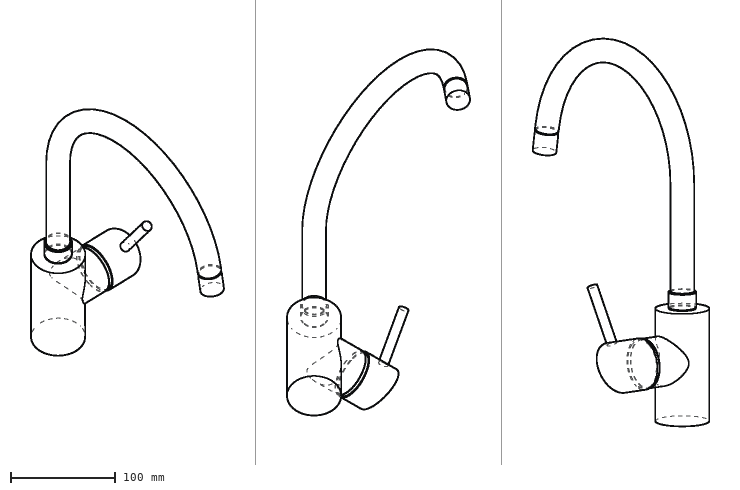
import cadquery as cq
import math

TOTAL_HEIGHT = 353.5

BODY_DIAMETER = 52.0
BODY_HEIGHT = 110.0
BRANCH_DIAMETER = 48.0
BRANCH_AXIS_HEIGHT = 61.5
BRANCH_END = 44.2

SPACER_DIAMETER = 46.5
SPACER_LENGTH = 3.5

CAP_DIAMETER = 50.0
CAP_END = 87.3
CAP_SLANT = 15.0
CAP_ROUND = 2.0
HANDLE_TURN = 32.0

LEVER_DIAMETER = 10.0
LEVER_REACH = 84.5
LEVER_PLACE = 74.0

COLLAR_DIAMETER = 27.0
COLLAR_HEIGHT = 17.0
COLLAR_BEVEL = 1.0
COLLAR_FOOT_DIAMETER = 25.8
COLLAR_FOOT_HEIGHT = 1.0

SPOUT_DIAMETER = 23.0
BEND_RADIUS = 110.3
BEND_SWEEP = 170.0
OUTLET_LENGTH = 3.5

AERATOR_NECK_DIAMETER = 21.5
AERATOR_NECK_LENGTH = 1.0
AERATOR_LENGTH = 21.5
AERATOR_BEVEL_LENGTH = 4.0
AERATOR_BEVEL_DEPTH = 0.5

spacer_end = BRANCH_END + SPACER_LENGTH
spout_base = BODY_HEIGHT + COLLAR_HEIGHT
bend_height = TOTAL_HEIGHT - BEND_RADIUS - SPOUT_DIAMETER / 2


def cylinder_along_y(diameter, start, end):
    """Cylinder on the branch axis between two Y positions."""
    plane = cq.Plane(origin=(0, start, BRANCH_AXIS_HEIGHT), xDir=(1, 0, 0), normal=(0, 1, 0))
    return cq.Workplane(plane).circle(diameter / 2).extrude(end - start)


def turn_handle(part):
    """Turn a part about the branch axis, tipping its top toward +X."""
    return part.rotate((0, 0, BRANCH_AXIS_HEIGHT), (0, 1, BRANCH_AXIS_HEIGHT), HANDLE_TURN)


def make_body():
    column = cq.Workplane("XY").circle(BODY_DIAMETER / 2).extrude(BODY_HEIGHT)
    return column.union(cylinder_along_y(BRANCH_DIAMETER, 0, BRANCH_END))


def make_spacer():
    return cylinder_along_y(SPACER_DIAMETER, BRANCH_END, spacer_end)


def make_cap():
    """Handle cap before turning: the end leans back toward the bottom."""
    radius = CAP_DIAMETER / 2
    bottom_end = CAP_END - CAP_DIAMETER * math.tan(math.radians(CAP_SLANT))
    side_outline = (
        cq.Workplane("YZ", origin=(0, 0, BRANCH_AXIS_HEIGHT))
        .moveTo(spacer_end, -radius)
        .lineTo(bottom_end, -radius)
        .lineTo(CAP_END, radius)
        .lineTo(spacer_end, radius)
        .close()
        .extrude(radius, both=True)
    )
    cap = cylinder_along_y(CAP_DIAMETER, spacer_end, CAP_END).intersect(side_outline)
    return cap.faces(">Y").edges().fillet(CAP_ROUND)


def make_lever(cap):
    """Lever before turning: its foot is shaped to the cap surface."""
    bar = (
        cq.Workplane("XY", origin=(0, LEVER_PLACE, BRANCH_AXIS_HEIGHT))
        .circle(LEVER_DIAMETER / 2)
        .extrude(LEVER_REACH)
    )
    return bar.cut(cap)


def make_collar():
    foot = cq.Workplane("XY", origin=(0, 0, BODY_HEIGHT)).circle(COLLAR_FOOT_DIAMETER / 2)
    foot = foot.extrude(COLLAR_FOOT_HEIGHT)
    sleeve = (
        cq.Workplane("XY", origin=(0, 0, BODY_HEIGHT + COLLAR_FOOT_HEIGHT))
        .circle(COLLAR_DIAMETER / 2)
        .extrude(COLLAR_HEIGHT - COLLAR_FOOT_HEIGHT)
        .faces(">Z")
        .chamfer(COLLAR_BEVEL)
    )
    return sleeve.union(foot)


def bend_point(sweep):
    """Point (x, z) on the bend centreline after a sweep in degrees from the riser."""
    angle = math.radians(180 - sweep)
    return BEND_RADIUS * (1 + math.cos(angle)), bend_height + BEND_RADIUS * math.sin(angle)


outlet_lean = math.radians(180 - BEND_SWEEP)
outlet_direction = (math.sin(outlet_lean), -math.cos(outlet_lean))
bend_end = bend_point(BEND_SWEEP)
outlet_end = (
    bend_end[0] + OUTLET_LENGTH * outlet_direction[0],
    bend_end[1] + OUTLET_LENGTH * outlet_direction[1],
)


def make_spout():
    centreline = (
        cq.Workplane("XZ")
        .moveTo(0, spout_base)
        .lineTo(0, bend_height)
        .threePointArc(bend_point(BEND_SWEEP / 2), bend_end)
        .lineTo(*outlet_end)
    )
    return cq.Workplane("XY", origin=(0, 0, spout_base)).circle(SPOUT_DIAMETER / 2).sweep(centreline)


def make_aerator():
    plane = cq.Plane(
        origin=(outlet_end[0], 0, outlet_end[1]),
        xDir=(0, 1, 0),
        normal=(outlet_direction[0], 0, outlet_direction[1]),
    )
    neck = cq.Workplane(plane).circle(AERATOR_NECK_DIAMETER / 2).extrude(AERATOR_NECK_LENGTH)
    sleeve = (
        cq.Workplane(plane)
        .workplane(offset=AERATOR_NECK_LENGTH)
        .circle(SPOUT_DIAMETER / 2)
        .extrude(AERATOR_LENGTH - AERATOR_NECK_LENGTH)
        .faces(">Z")
        .chamfer(AERATOR_BEVEL_LENGTH, AERATOR_BEVEL_DEPTH)
    )
    return sleeve.union(neck)


body = make_body()
spacer = make_spacer()
upright_cap = make_cap()
cap = turn_handle(upright_cap)
lever = turn_handle(make_lever(upright_cap))
collar = make_collar()
spout = make_spout()
aerator = make_aerator()

result = cq.Compound.makeCompound(
    [body.val(), spacer.val(), cap.val(), lever.val(), collar.val(), spout.val(), aerator.val()]
)